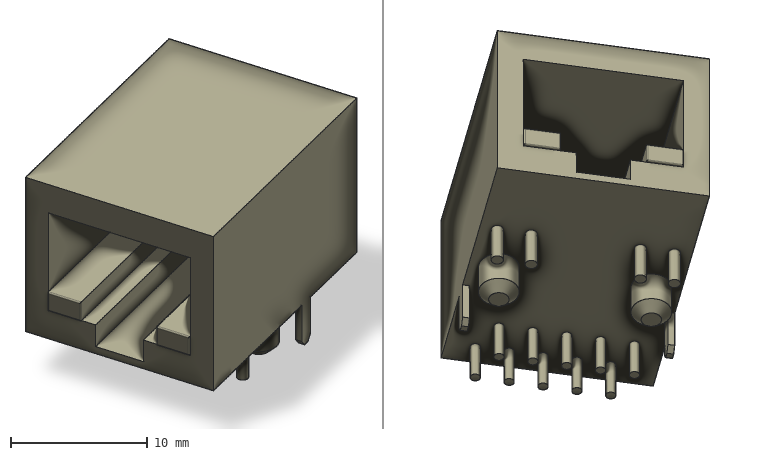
import cadquery as cq

width = 15.9
height = 13.59
led_protrusion = 0.15
depth = 21.4 - led_protrusion

cavity_width = 11.98
cavity_depth = 17.12
cavity_floor = 2.53
cavity_top = height - 2.5
keyway_width = 4.05
keyway_floor = 0.62

led_width = 2.78
led_height = 1.65
led_edge_radius = 0.1

pin_length = 3.02
signal_diameter = 0.75
signal_count = 10
signal_pitch = 1.27
signal_rows = (19.58, 17.03)

led_pin_diameter = 0.9
led_pin_offsets = (4.09, 6.63)
led_pin_y = 6.63

post_diameter = 3.0
post_length = 3.19
post_bevel = 0.75
post_offset = 5.71
post_y = 10.68

tab_thickness = 0.51
tab_width = 1.3
tab_length = 17.3 - height
tab_tip_width = 0.5
tab_tip_height = 0.51
tab_y = 13.74

embed = 0.21


def box_between(x_range, y_range, z_range):
    """Box spanning the given ranges."""
    (x0, x1), (y0, y1), (z0, z1) = x_range, y_range, z_range
    return cq.Workplane("XY").box(x1 - x0, y1 - y0, z1 - z0, centered=False).translate((x0, y0, z0))


def leg(x, y, diameter, length):
    """Round leg hanging below the housing."""
    return cq.Workplane("XY", origin=(x, y, -length)).circle(diameter / 2).extrude(length + embed)


def housing():
    half = cavity_width / 2
    key_half = keyway_width / 2
    body = box_between((-width / 2, width / 2), (0, depth), (0, height))
    cavity = box_between((-half, half), (0, cavity_depth), (cavity_floor, cavity_top))
    keyway = box_between((-key_half, key_half), (0, cavity_depth), (keyway_floor, cavity_top))
    return body.cut(cavity).cut(keyway)


def led_bar(side):
    """Bar in one lower corner of the cavity, its front edges rounded."""
    outer = side * cavity_width / 2
    inner = outer - side * led_width
    x_range = sorted((outer, inner))
    z_range = (cavity_floor, cavity_floor + led_height)
    bar = box_between(x_range, (-led_protrusion, cavity_depth), z_range)
    return bar.faces("<Y").fillet(led_edge_radius)


def post(side):
    cylinder = leg(side * post_offset, post_y, post_diameter, post_length)
    return cylinder.faces("<Z").chamfer(post_bevel)


def tab(side):
    """Flat tab with a tapered tip."""
    half = tab_width / 2
    tip_half = tab_tip_width / 2
    shoulder = tab_tip_height - tab_length
    outline = [
        (tab_y - half, embed),
        (tab_y - half, shoulder),
        (tab_y - tip_half, -tab_length),
        (tab_y + tip_half, -tab_length),
        (tab_y + half, shoulder),
        (tab_y + half, embed),
    ]
    centre_x = side * (width - tab_thickness) / 2
    blank = cq.Workplane("YZ", origin=(centre_x, 0, 0)).polyline(outline).close()
    return blank.extrude(tab_thickness / 2, both=True)


result = housing()

for side in (-1, 1):
    result = result.union(led_bar(side)).union(post(side)).union(tab(side))
    for offset in led_pin_offsets:
        result = result.union(leg(side * offset, led_pin_y, led_pin_diameter, pin_length))

for index in range(signal_count):
    x = (index - (signal_count - 1) / 2) * signal_pitch
    result = result.union(leg(x, signal_rows[index % 2], signal_diameter, pin_length))